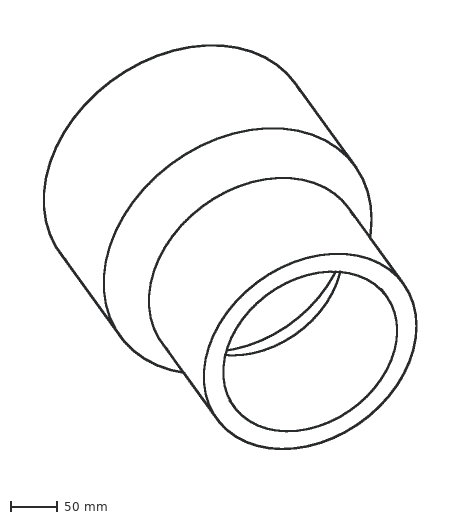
import cadquery as cq

length = 375.0
large_end_length = 170.0
taper_length = 50.0
large_outer_diameter = 315.0
large_bore_diameter = 257.5
small_outer_diameter = 250.0
small_bore_diameter = 204.5

taper_end = large_end_length + taper_length


def stepped_body(large_diameter, small_diameter):
    """Solid of revolution: wide cylinder, cone, narrow cylinder."""
    large_radius = large_diameter / 2
    small_radius = small_diameter / 2
    profile = [
        (0, 0),
        (0, large_radius),
        (large_end_length, large_radius),
        (taper_end, small_radius),
        (length, small_radius),
        (length, 0),
    ]
    return cq.Workplane("XY").polyline(profile).close().revolve(360, (0, 0, 0), (1, 0, 0))


outer_body = stepped_body(large_outer_diameter, small_outer_diameter)
bore = stepped_body(large_bore_diameter, small_bore_diameter)
result = outer_body.cut(bore)